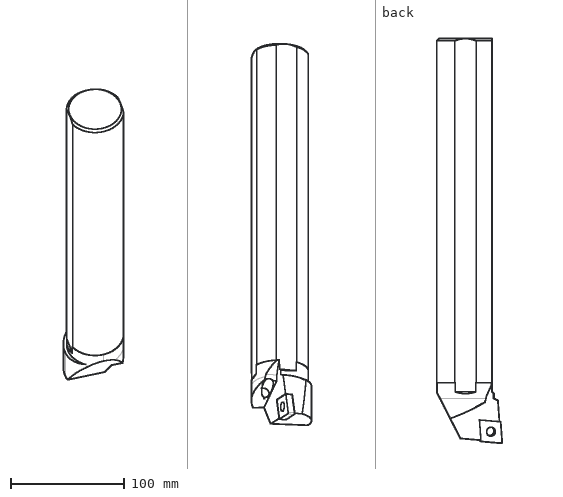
import cadquery as cq
import math

BIG = 143.0
blank_bottom = -3.5
cut_bottom = -7.0

bar_length = 357.0
shank_diameter = 50.7
neck_diameter = 50.5
shank_radius = shank_diameter / 2
neck_radius = neck_diameter / 2
neck_top = 53.5
across_flats = 47.0
flat_distance = across_flats / 2
flat_end = 45.5
end_chamfer = 2.0

cone_top = 39.5
cone_slope = math.radians(28)
cone_width = 14.3
overall_depth = 53.0
head_front = overall_depth - neck_radius
head_left_radius = 35.7
head_right_radius = 22.5
bevel_top_x = 25.5
bevel_top_z = 45.0
bevel_angle = math.radians(27)

floor_edge_x = -16.0
floor_edge_z = 36.8
floor_slope = 0.47
roof_low_x = -17.5
roof_low_z = 42.0
roof_slope = 1.7
recess_diameter = 10.0
recess_y = 13.5
recess_z = 33.2
recess_end_x = 5.5

tip = (-32.5, 0.5, -0.1)
approach = math.tan(math.radians(5))
rake_x = 0.19
rake_z = 0.09
nose_angle = math.radians(80)
inscribed_diameter = 19.0
insert_side = inscribed_diameter / math.sin(nose_angle)
insert_thickness = 6.5
insert_hole_diameter = 8.0
nose_radius = 1.0
insert_step = 0.5
overhang = 1.0

rake_plane = cq.Plane(
    origin=tip,
    xDir=(1, rake_x + rake_z * approach, approach),
    normal=(rake_x, -1, rake_z),
)


def rhombus(side, inset=0.0):
    """Corners of a rhombus at the tip, moved inward from both cutting edges by `inset`."""
    run = math.cos(nose_angle)
    rise = math.sin(nose_angle)
    x0 = inset * (1 + run) / rise
    return [
        (x0, inset),
        (x0 + side, inset),
        (x0 + side * (1 + run), inset + side * rise),
        (x0 + side * run, inset + side * rise),
    ]


def insert_blank():
    return cq.Workplane(rake_plane).polyline(rhombus(insert_side)).close().extrude(insert_thickness)


def make_insert():
    centre = (insert_side * (1 + math.cos(nose_angle)) / 2, inscribed_diameter / 2)
    hole = (
        cq.Workplane(rake_plane).center(*centre)
        .circle(insert_hole_diameter / 2).extrude(insert_thickness)
    )
    nose = cq.selectors.NearestToPointSelector(
        (rake_plane.origin + rake_plane.zDir * (insert_thickness / 2)).toTuple()
    )
    return insert_blank().edges(nose).fillet(nose_radius).cut(hole)


def shank():
    """Bar above the neck with its flats, each ending in a 45 degree run-out."""
    upper = (
        cq.Workplane("XY", origin=(0, 0, neck_top))
        .circle(shank_radius).extrude(bar_length - neck_top)
        .faces(">Z").chamfer(end_chamfer)
    )
    lower = (
        cq.Workplane("XY", origin=(0, 0, cone_top))
        .circle(neck_radius).extrude(neck_top - cone_top)
    )
    body = upper.union(lower)
    cut_depth = 3.5
    outer = flat_distance + cut_depth
    flat_cut = (
        cq.Workplane("XZ", origin=(0, shank_radius, 0))
        .moveTo(flat_distance, bar_length)
        .lineTo(flat_distance, flat_end)
        .lineTo(outer, flat_end - cut_depth)
        .lineTo(outer, bar_length)
        .close()
        .extrude(2 * shank_radius)
    )
    for angle in (90, 180, 270):
        body = body.cut(flat_cut.rotate((0, 0, 0), (0, 0, 1), angle))
    return body


def head_outline():
    """Wide left arc and tighter right arc, tangent to each other at the front."""
    left_y = head_left_radius - head_front
    right_y = head_right_radius - head_front
    diagonal = math.sqrt(0.5)
    return (
        cq.Workplane("XY", origin=(0, 0, blank_bottom))
        .moveTo(0, -head_front)
        .threePointArc(
            (head_right_radius * diagonal, right_y - head_right_radius * diagonal),
            (head_right_radius, right_y),
        )
        .lineTo(0, left_y)
        .lineTo(-head_left_radius, left_y)
        .threePointArc(
            (-head_left_radius * diagonal, left_y - head_left_radius * diagonal),
            (0, -head_front),
        )
        .close()
        .extrude(cone_top - blank_bottom)
    )


def head():
    cone_outer = neck_radius + cone_width
    cone_bottom = cone_top - cone_width * math.tan(cone_slope)
    under_cone = (
        cq.Workplane("XZ")
        .polyline([
            (0, blank_bottom),
            (cone_outer, blank_bottom),
            (cone_outer, cone_bottom),
            (neck_radius, cone_top),
            (0, cone_top),
        ])
        .close()
        .revolve(360, (0, 0, 0), (0, 1, 0))
    )
    core = (
        cq.Workplane("XY", origin=(0, 0, blank_bottom))
        .circle(neck_radius).extrude(cone_top - blank_bottom)
    )
    body = head_outline().intersect(under_cone).union(core)
    relief = (
        cq.Workplane(rake_plane).polyline(rhombus(BIG, overhang)).close()
        .extrude(BIG, both=True)
    )
    return body.intersect(relief)


def back_bevel():
    bottom_x = bevel_top_x - (bevel_top_z - cut_bottom) * math.tan(bevel_angle)
    return (
        cq.Workplane("XZ", origin=(0, BIG / 2, 0))
        .polyline([
            (bevel_top_x, bevel_top_z),
            (bottom_x, cut_bottom),
            (BIG, cut_bottom),
            (BIG, bevel_top_z),
        ])
        .close()
        .extrude(BIG)
    )


def chip_pocket():
    """Space above the rake plane, closed by a sloping floor and a steep roof in the neck."""
    roof_run = 18.0
    profile = [
        (floor_edge_x, floor_edge_z),
        (roof_low_x, roof_low_z),
        (roof_low_x - roof_run, roof_low_z + roof_run * roof_slope),
        (roof_low_x - roof_run, cut_bottom),
        (floor_edge_x + (floor_edge_z - cut_bottom) / floor_slope, cut_bottom),
    ]
    across = cq.Plane(origin=(0, recess_y, 0), xDir=(1, rake_x, 0), normal=rake_plane.zDir.toTuple())
    gap = cq.Workplane(across).polyline(profile).close().extrude(BIG / 2, both=True)
    recess = (
        cq.Workplane("YZ", origin=(recess_end_x, recess_y, recess_z))
        .circle(recess_diameter / 2).extrude(roof_low_x - recess_end_x)
    )
    above_rake = (
        cq.Workplane(rake_plane).workplane(offset=insert_step)
        .rect(2 * BIG, 2 * BIG).extrude(-BIG)
    )
    return gap.intersect(above_rake).union(recess)


def make_holder():
    body = shank().union(head())
    for tool in (back_bevel(), chip_pocket(), insert_blank()):
        body = body.cut(tool)
    return body


holder = make_holder()
insert = make_insert()
result = cq.Compound.makeCompound([holder.val(), insert.val()])